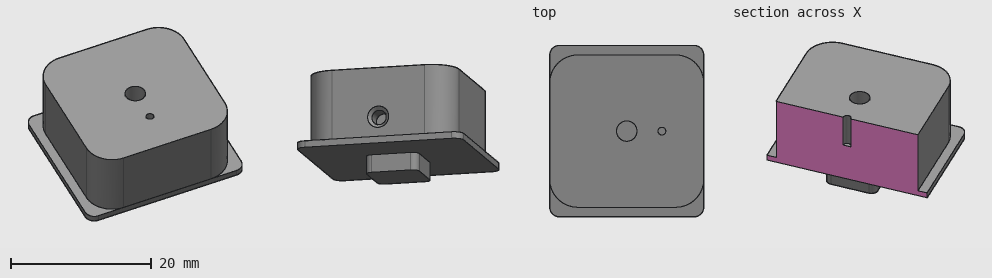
import cadquery as cq

PLATE_X = 21.91
PLATE_Y = 24.4
PLATE_THICKNESS = 0.95
PLATE_CORNER_RADIUS = 1.4

BODY_X = 21.9
BODY_Y = 21.65
BODY_CORNER_RADIUS = 4.0

BOSS_SIDE = 7.75
BOSS_CORNER_RADIUS = 1.0
BOSS_HEIGHT = 2.55

OVERALL_HEIGHT = 13.55
BODY_TOP = OVERALL_HEIGHT - BOSS_HEIGHT
BODY_HEIGHT = BODY_TOP - PLATE_THICKNESS

CENTRE_HOLE_DIAMETER = 2.9
SMALL_HOLE_DIAMETER = 1.1
SMALL_HOLE_X = 5.0
TOP_HOLE_DEPTH = 5.0

SIDE_HOLE_DIAMETER = 2.1
SIDE_HOLE_RIM_DIAMETER = 3.1
SIDE_HOLE_DEPTH = 3.0
SIDE_HOLE_Z = 3.8
COUNTERSINK_DEPTH = (SIDE_HOLE_RIM_DIAMETER - SIDE_HOLE_DIAMETER) / 2


def rounded_block(size_x, size_y, height, corner_radius, bottom_z):
    """Upright block centred on the Z axis with rounded vertical edges."""
    return (
        cq.Workplane("XY", origin=(0, 0, bottom_z))
        .rect(size_x, size_y)
        .extrude(height)
        .edges("|Z")
        .fillet(corner_radius)
    )


def top_hole(diameter, x):
    """Cutter for a flat-bottomed hole going down from the top face."""
    return cq.Workplane("XY", origin=(x, 0, BODY_TOP)).circle(diameter / 2).extrude(-TOP_HOLE_DEPTH)


def side_hole():
    """Cutter for the countersunk hole, revolved about its axis along X."""
    face_x = -BODY_X / 2
    hole_radius = SIDE_HOLE_DIAMETER / 2
    profile = [
        (face_x, 0),
        (face_x, SIDE_HOLE_RIM_DIAMETER / 2),
        (face_x + COUNTERSINK_DEPTH, hole_radius),
        (face_x + SIDE_HOLE_DEPTH, hole_radius),
        (face_x + SIDE_HOLE_DEPTH, 0),
    ]
    return (
        cq.Workplane("XY", origin=(0, 0, SIDE_HOLE_Z))
        .polyline(profile)
        .close()
        .revolve(360, (0, 0, 0), (1, 0, 0))
    )


plate = rounded_block(PLATE_X, PLATE_Y, PLATE_THICKNESS, PLATE_CORNER_RADIUS, 0)
body = rounded_block(BODY_X, BODY_Y, BODY_HEIGHT, BODY_CORNER_RADIUS, PLATE_THICKNESS)
boss = rounded_block(BOSS_SIDE, BOSS_SIDE, BOSS_HEIGHT, BOSS_CORNER_RADIUS, -BOSS_HEIGHT)

result = (
    plate.union(body)
    .union(boss)
    .cut(top_hole(CENTRE_HOLE_DIAMETER, 0))
    .cut(top_hole(SMALL_HOLE_DIAMETER, SMALL_HOLE_X))
    .cut(side_hole())
)